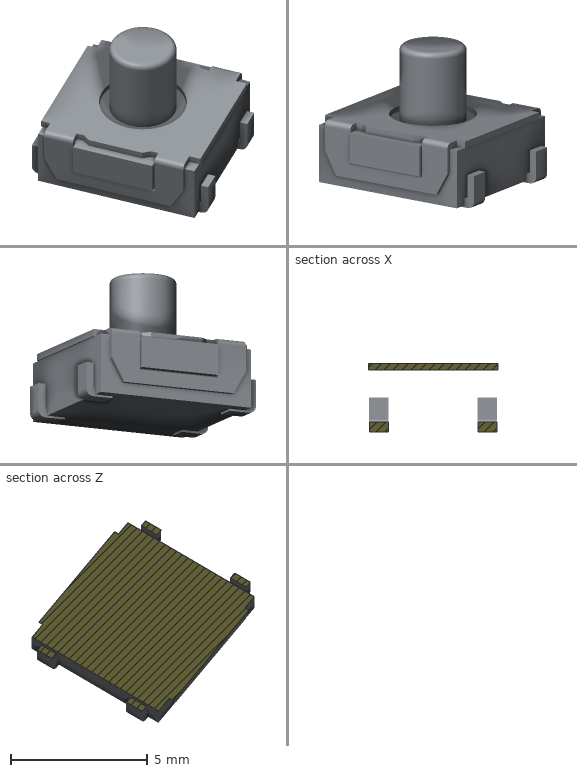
import cadquery as cq

TOTAL_HEIGHT = 5.16
COVER_TOP = 2.52
PLATE_THICKNESS = 0.255
BODY_TOP = COVER_TOP - PLATE_THICKNESS
BODY_BOTTOM = 0.075

BODY_SHIFT_X = 0.04
BODY_LENGTH = 6.14
BODY_WIDTH = 5.67

COVER_LENGTH = 6.25
COVER_END_WIDTH = 4.76
COVER_WIDTH = 6.015
COVER_BEND_RADIUS = 0.2
FLAP_LENGTH = 5.46
FLAP_BOTTOM_LENGTH = 4.46
FLAP_SLOPE_TOP = 1.38
FLAP_BOTTOM = 0.505
BUTTON_RECESS_DIAMETER = 3.22
BUTTON_RECESS_DEPTH = 0.2

WINDOW_LENGTH = 3.2
WINDOW_BOTTOM = 1.03
WINDOW_POCKET_Y = 2.605
WINDOW_MIDDLE_Y = COVER_WIDTH / 2 - COVER_BEND_RADIUS
WINDOW_POCKET_X = 1.32
WINDOW_MIDDLE_X = 1.045

LATCH_LENGTH = 3.105
LATCH_BOTTOM = 1.11
OVERALL_WIDTH = 6.21

BUTTON_DIAMETER = 2.46
BUTTON_EDGE_RADIUS = 0.2

OVERALL_LENGTH = 6.93
PIN_WIDTH = 0.715
PIN_CENTER_Y = 1.995
PIN_TOP = 1.26
PIN_THICKNESS = 0.285
PIN_FOOT_TOP = 0.35
PIN_FOOT_END_X = 2.39
PIN_OUTER_RADIUS = 0.285
PIN_INNER_RADIUS = 0.1


def block(length, width, bottom, top, center_x=0.0):
    """Upright box centred on Y = 0."""
    return (
        cq.Workplane("XY", origin=(center_x, 0, bottom))
        .rect(length, width)
        .extrude(top - bottom)
    )


def make_body():
    body = block(BODY_LENGTH, BODY_WIDTH, BODY_BOTTOM, BODY_TOP, BODY_SHIFT_X)
    latches = block(LATCH_LENGTH, OVERALL_WIDTH, LATCH_BOTTOM, BODY_TOP)
    return body.union(latches)


def make_window():
    """Cutter for the window of the +Y flap and the notch it makes in the top plate."""
    outside_y = OVERALL_WIDTH / 2
    side_x = WINDOW_LENGTH / 2
    return (
        cq.Workplane("XY", origin=(0, 0, WINDOW_BOTTOM))
        .polyline([
            (-side_x, outside_y),
            (-side_x, WINDOW_POCKET_Y),
            (-WINDOW_POCKET_X, WINDOW_POCKET_Y),
            (-WINDOW_MIDDLE_X, WINDOW_MIDDLE_Y),
            (WINDOW_MIDDLE_X, WINDOW_MIDDLE_Y),
            (WINDOW_POCKET_X, WINDOW_POCKET_Y),
            (side_x, WINDOW_POCKET_Y),
            (side_x, outside_y),
        ])
        .close()
        .extrude(COVER_TOP - WINDOW_BOTTOM)
    )


def make_cover():
    """Folded cover as a filled shape with a recess around the button; the body fills its inside."""
    folded = (
        cq.Workplane("XZ")
        .polyline([
            (-FLAP_LENGTH / 2, COVER_TOP),
            (-FLAP_LENGTH / 2, FLAP_SLOPE_TOP),
            (-FLAP_BOTTOM_LENGTH / 2, FLAP_BOTTOM),
            (FLAP_BOTTOM_LENGTH / 2, FLAP_BOTTOM),
            (FLAP_LENGTH / 2, FLAP_SLOPE_TOP),
            (FLAP_LENGTH / 2, COVER_TOP),
        ])
        .close()
        .extrude(COVER_WIDTH / 2, both=True)
        .faces(">Z")
        .edges("|X")
        .fillet(COVER_BEND_RADIUS)
    )
    end_plate = block(COVER_LENGTH, COVER_END_WIDTH, BODY_TOP, COVER_TOP, BODY_SHIFT_X)
    recess = (
        cq.Workplane("XY", origin=(0, 0, COVER_TOP - BUTTON_RECESS_DEPTH))
        .circle(BUTTON_RECESS_DIAMETER / 2)
        .extrude(BUTTON_RECESS_DEPTH)
    )
    window = make_window()
    return folded.union(end_plate).cut(recess).cut(window).cut(window.mirror("XZ"))


def make_button():
    return (
        cq.Workplane("XY", origin=(0, 0, BODY_TOP))
        .circle(BUTTON_DIAMETER / 2)
        .extrude(TOTAL_HEIGHT - BODY_TOP)
        .faces(">Z")
        .edges()
        .fillet(BUTTON_EDGE_RADIUS)
    )


def make_pin(center_y):
    """L-shaped terminal on the -X side, its foot set into the body floor."""
    outer_x = -OVERALL_LENGTH / 2
    inner_x = outer_x + PIN_THICKNESS
    pin = (
        cq.Workplane("XZ", origin=(0, center_y, 0))
        .polyline([
            (outer_x, PIN_TOP),
            (outer_x, 0),
            (-PIN_FOOT_END_X, 0),
            (-PIN_FOOT_END_X, PIN_FOOT_TOP),
            (inner_x, PIN_FOOT_TOP),
            (inner_x, PIN_TOP),
        ])
        .close()
        .extrude(PIN_WIDTH / 2, both=True)
    )
    outer_bend = cq.NearestToPointSelector((outer_x, center_y, 0))
    inner_bend = cq.NearestToPointSelector((inner_x, center_y, PIN_FOOT_TOP))
    return (
        pin.edges(outer_bend)
        .fillet(PIN_OUTER_RADIUS)
        .edges(inner_bend)
        .fillet(PIN_INNER_RADIUS)
    )


result = make_cover().union(make_body()).union(make_button())
for pin_y in (-PIN_CENTER_Y, PIN_CENTER_Y):
    pin = make_pin(pin_y)
    result = result.union(pin).union(pin.mirror("YZ"))